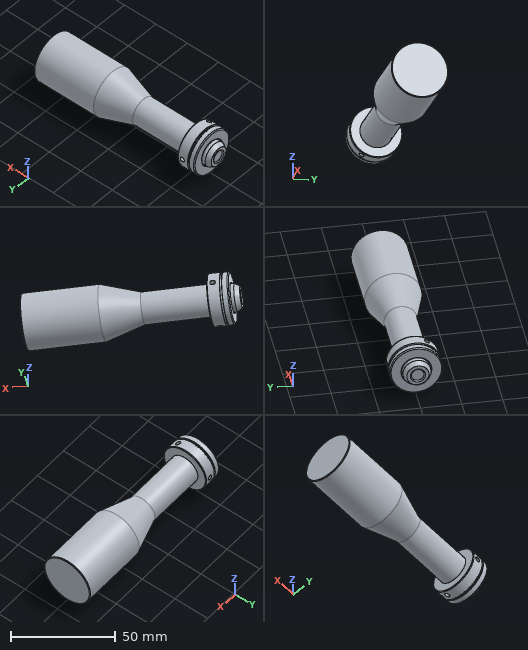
import cadquery as cq
import math

total_length = 105.39
nose_cone_length = 2.6
flange_start = 4.25
groove_start = 7.5
groove_end = 8.5
flange_end = 14.8
taper_start = 47.8
taper_end = 67.4

nose_tip_radius = 5.4
nose_radius = 6.9
flange_radius = 13.0
land_radius = 12.85
groove_radius = 12.15
neck_radius = 8.0
handle_radius = 14.0

land_chamfer = 0.55
flange_rear_chamfer = 0.4
handle_end_chamfer = 0.4

recess_chamfer = 0.6

socket_mouth_radius = 3.7
socket_floor_radius = 3.1
socket_depth = 0.6
floor_sag = 0.1

screw_hole_count = 3
screw_hole_diameter = 2.6
screw_hole_x = 11.8
screw_hole_floor_radius = neck_radius


def make_body():
    """Revolve the outer profile, nose to handle, about the X axis."""
    profile = (
        cq.Workplane("XZ")
        .moveTo(0, 0)
        .lineTo(0, nose_tip_radius)
        .lineTo(nose_cone_length, nose_radius)
        .lineTo(flange_start + recess_chamfer, nose_radius)
        .lineTo(flange_start, nose_radius + recess_chamfer)
        .lineTo(flange_start, land_radius - land_chamfer)
        .lineTo(flange_start + land_chamfer, land_radius)
        .lineTo(groove_start, land_radius)
        .lineTo(groove_start, groove_radius)
        .lineTo(groove_end, groove_radius)
        .lineTo(groove_end, flange_radius)
        .lineTo(flange_end - flange_rear_chamfer, flange_radius)
        .lineTo(flange_end, flange_radius - flange_rear_chamfer)
        .lineTo(flange_end, neck_radius)
        .lineTo(taper_start, neck_radius)
        .lineTo(taper_end, handle_radius)
        .lineTo(total_length - handle_end_chamfer, handle_radius)
        .lineTo(total_length, handle_radius - handle_end_chamfer)
        .lineTo(total_length, 0)
        .close()
    )
    return profile.revolve(360, (0, 0, 0), (1, 0, 0))


def make_nose_socket():
    """Conical socket whose floor is a shallow concave dish."""
    sag_angle = 2 * math.atan(floor_sag / socket_floor_radius)
    dish_radius = socket_floor_radius / math.sin(sag_angle)
    dish_centre_x = socket_depth + floor_sag - dish_radius
    arc_middle = (
        dish_centre_x + dish_radius * math.cos(sag_angle / 2),
        dish_radius * math.sin(sag_angle / 2),
    )
    profile = (
        cq.Workplane("XZ")
        .moveTo(0, 0)
        .lineTo(0, socket_mouth_radius)
        .lineTo(socket_depth, socket_floor_radius)
        .threePointArc(arc_middle, (socket_depth + floor_sag, 0))
        .close()
    )
    return profile.revolve(360, (0, 0, 0), (1, 0, 0))


def make_screw_hole(angle):
    """Radial hole from the flange rim down to the neck radius, turned about X from +Y."""
    hole = (
        cq.Workplane("ZX", origin=(screw_hole_x, screw_hole_floor_radius, 0))
        .circle(screw_hole_diameter / 2)
        .extrude(handle_radius - screw_hole_floor_radius)
    )
    return hole.rotate((0, 0, 0), (1, 0, 0), angle)


result = make_body().cut(make_nose_socket())
for index in range(screw_hole_count):
    result = result.cut(make_screw_hole(index * 360 / screw_hole_count))